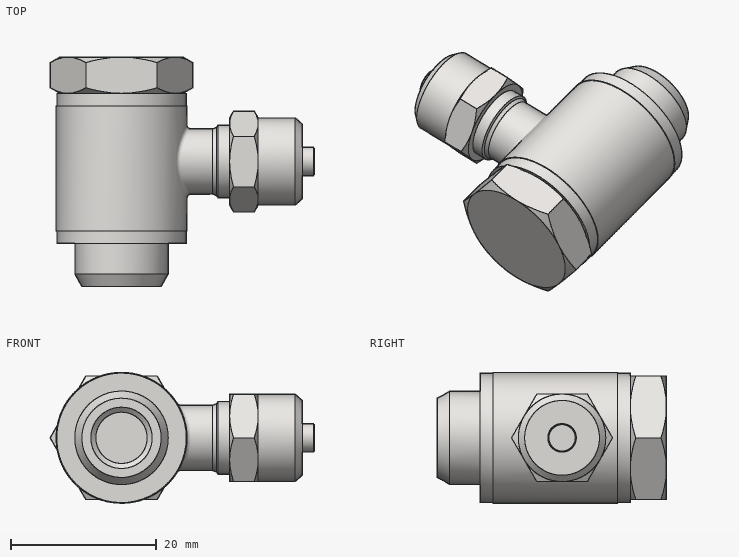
import cadquery as cq
import math


tip_y = -17.17
stud_length = 5.92
stud_radius = 6.43
stud_tip_radius = 5.45
stud_taper_length = 1.75
washer_length = 1.75
washer_radius = 8.9
body_length = 17.15
body_radius = 9.0
bore_radius = 3.52
bore_mouth_radius = 4.2
bore_depth = 17.17
bolt_head_flats = 17.0
bolt_head_height = 4.97

neck_end_x = 12.53
collar_start_x = 13.07
nut_start_x = 14.85
nut_end_x = 18.77
sleeve_end_x = 24.85
overall_length = 36.3
neck_radius = 4.5
neck_flare_radius = 4.72
collar_radius = 5.0
collar_bevel = 0.18
nut_flats = 12.02
sleeve_bevel_length = 0.98
sleeve_bevel_depth = 0.87
tube_radius = 1.95
tube_bevel = 0.15
junction_fillet = 0.5

hex_bevel_angle = 30


def corner_diameter(flats):
    """Diameter across the corners of a hexagon."""
    return flats / math.cos(math.pi / 6)


def beveled_hex(flats, height):
    """Hexagon standing on XY, a corner on X, with conical bevels on both ends."""
    inner = flats / 2
    outer = corner_diameter(flats) / 2
    bevel = (outer - inner) * math.tan(math.radians(hex_bevel_angle))
    prism = cq.Workplane("XY").polygon(6, 2 * outer).extrude(height)
    envelope = (
        cq.Workplane("XZ")
        .polyline([(0, 0), (inner, 0), (outer, bevel), (outer, height - bevel), (inner, height), (0, height)])
        .close()
        .revolve(360, (0, 0, 0), (0, 1, 0))
    )
    return prism.intersect(envelope)


def barrel_cylinder(radius, start_y, length):
    return cq.Workplane("XZ", origin=(0, start_y, 0)).circle(radius).extrude(-length)


def revolve_about_x(points):
    return cq.Workplane("XY").polyline(points).close().revolve(360, (0, 0, 0), (1, 0, 0))


def revolve_about_y(points):
    return cq.Workplane("XY").polyline(points).close().revolve(360, (0, 0, 0), (0, 1, 0))


stud_end_y = tip_y + stud_length
body_start_y = stud_end_y + washer_length
body_end_y = body_start_y + body_length
head_start_y = body_end_y + washer_length
tube_end_x = overall_length - corner_diameter(bolt_head_flats) / 2

body = barrel_cylinder(body_radius, body_start_y, body_length).rotate((0, 0, 0), (0, 1, 0), 180)
neck = cq.Workplane("YZ").circle(neck_radius).extrude(neck_end_x)
junction = body.union(neck).edges("not(%LINE or %CIRCLE)").fillet(junction_fillet)

lower_washer = barrel_cylinder(washer_radius, stud_end_y, washer_length)
upper_washer = barrel_cylinder(washer_radius, body_end_y, washer_length)

stud = revolve_about_y([
    (0, tip_y),
    (stud_tip_radius, tip_y),
    (stud_radius, tip_y + stud_taper_length),
    (stud_radius, stud_end_y),
    (0, stud_end_y),
])

bolt_head = (
    beveled_hex(bolt_head_flats, bolt_head_height)
    .rotate((0, 0, 0), (1, 0, 0), -90)
    .translate((0, head_start_y, 0))
)

collar = revolve_about_x([
    (neck_end_x, 0),
    (neck_end_x, neck_radius),
    (collar_start_x, neck_flare_radius),
    (collar_start_x + collar_bevel, collar_radius),
    (nut_start_x, collar_radius),
    (nut_start_x, 0),
])

nut = (
    beveled_hex(nut_flats, nut_end_x - nut_start_x)
    .rotate((0, 0, 0), (0, 0, 1), 90)
    .rotate((0, 0, 0), (0, 1, 0), 90)
    .translate((nut_start_x, 0, 0))
)

sleeve_radius = nut_flats / 2
sleeve = revolve_about_x([
    (nut_end_x, 0),
    (nut_end_x, sleeve_radius),
    (sleeve_end_x - sleeve_bevel_length, sleeve_radius),
    (sleeve_end_x, sleeve_radius - sleeve_bevel_depth),
    (sleeve_end_x, tube_radius),
    (tube_end_x - tube_bevel, tube_radius),
    (tube_end_x, tube_radius - tube_bevel),
    (tube_end_x, 0),
])

countersink_depth = bore_mouth_radius - bore_radius
bore = revolve_about_y([
    (0, tip_y),
    (bore_mouth_radius, tip_y),
    (bore_radius, tip_y + countersink_depth),
    (bore_radius, tip_y + bore_depth),
    (0, tip_y + bore_depth),
])

result = junction
for piece in (lower_washer, upper_washer, stud, bolt_head, collar, nut, sleeve):
    result = result.union(piece)
result = result.cut(bore)